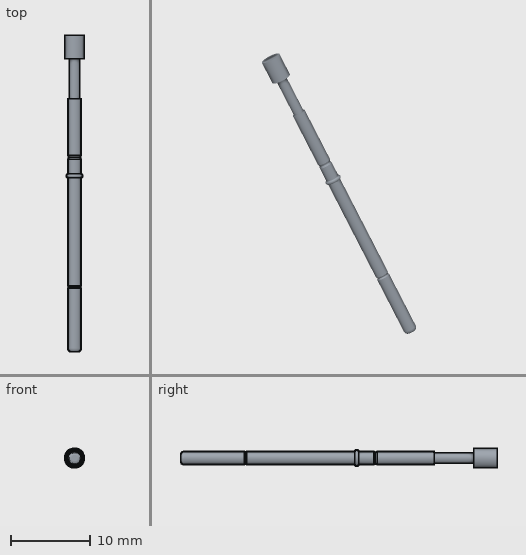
import cadquery as cq

total_length = 40.0

head_diameter = 2.5
head_length = 3.0
stem_diameter = 1.35
stem_length = 5.0
barrel_diameter = 1.7
tail_radius = 0.45

collar_diameter = 2.1
collar_width = 0.5
collar_station = 22.25

groove_depth = 0.1
front_groove_station = 24.6
front_groove_width = 0.5
rear_groove_station = 8.2
rear_groove_width = 0.35

barrel_radius = barrel_diameter / 2
barrel_length = total_length - head_length - stem_length


def cylinder(diameter, start, length):
    """Solid cylinder along +Y from the given station."""
    base = cq.Workplane("XZ", origin=(0, start, 0))
    return base.circle(diameter / 2).extrude(-length)


def turned_ring(half_profile):
    """Revolve a closed profile in the XY plane about the Y axis."""
    return half_profile.revolve(360, (0, 0, 0), (0, 1, 0))


def v_groove(station, width):
    """Cutter for a V groove centred on the given station."""
    profile = (
        cq.Workplane("XY")
        .moveTo(barrel_radius, station - width / 2)
        .lineTo(barrel_radius - groove_depth, station)
        .lineTo(barrel_radius, station + width / 2)
        .close()
    )
    return turned_ring(profile)


def collar():
    """Ring with a rounded rim, solid down to the axis."""
    profile = (
        cq.Workplane("XY")
        .moveTo(0, collar_station - collar_width / 2)
        .lineTo(barrel_radius, collar_station - collar_width / 2)
        .threePointArc(
            (collar_diameter / 2, collar_station),
            (barrel_radius, collar_station + collar_width / 2),
        )
        .lineTo(0, collar_station + collar_width / 2)
        .close()
    )
    return turned_ring(profile)


barrel = cylinder(barrel_diameter, 0, barrel_length).faces("<Y").edges().fillet(tail_radius)
barrel = barrel.cut(v_groove(front_groove_station, front_groove_width))
barrel = barrel.cut(v_groove(rear_groove_station, rear_groove_width))

stem = cylinder(stem_diameter, barrel_length, stem_length)
head = cylinder(head_diameter, total_length - head_length, head_length)

result = barrel.union(collar()).union(stem).union(head)